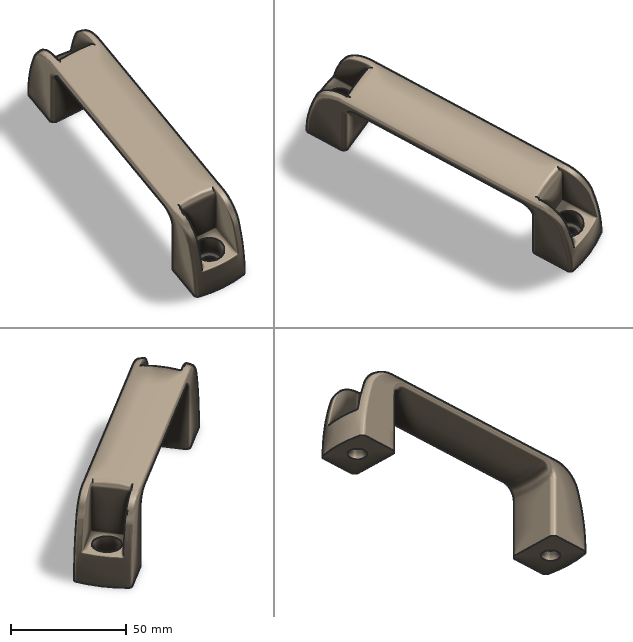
import cadquery as cq
import math

length = 138.8
width = 26.0
height = 41.0

shoulder_radius = 15.8
shoulder_x = 49.5
crown_radius = 55.5
outer_edge_round = 2.0

leg_inner_x = 47.5
underside_z = 34.1
opening_corner_radius = 5.7
inner_edge_round = 2.2

pocket_width = 18.0
pocket_back_x = 49.8
pocket_floor_z = 15.0
pocket_back_round = 3.3
pocket_edge_round = 0.5

hole_x = 58.5
hole_diameter = 8.5
counterbore_diameter = 13.0
counterbore_depth = 10.0

half_length = length / 2
half_width = width / 2
shoulder_z = height - shoulder_radius
margin = 7.0
tolerance = 0.1

shoulder_reach = half_length - shoulder_x
end_radius = (shoulder_reach**2 + shoulder_z**2 - shoulder_radius**2) / 2 / (shoulder_reach - shoulder_radius)
end_center_x = half_length - end_radius
join_angle = math.atan2(shoulder_z, shoulder_x - end_center_x)


def crown_sag(offset):
    """Drop of a crowned face at a distance from the middle of the width."""
    return crown_radius - math.sqrt(crown_radius**2 - offset**2)


def polar(center_x, center_z, radius, angle):
    return (center_x + radius * math.cos(angle), center_z + radius * math.sin(angle))


def mirrored(point):
    return (-point[0], point[1])


def outer_path():
    """Outline of the handle along the middle of its outer face, from foot to foot."""
    end_middle = polar(end_center_x, 0, end_radius, join_angle / 2)
    join = polar(end_center_x, 0, end_radius, join_angle)
    shoulder_middle = polar(shoulder_x, shoulder_z, shoulder_radius, (join_angle + math.pi / 2) / 2)
    return (
        cq.Workplane("XZ")
        .moveTo(-half_length, 0)
        .threePointArc(mirrored(end_middle), mirrored(join))
        .threePointArc(mirrored(shoulder_middle), (-shoulder_x, height))
        .lineTo(shoulder_x, height)
        .threePointArc(shoulder_middle, join)
        .threePointArc(end_middle, (half_length, 0))
    )


def crown_cutter():
    """Material outside the crowned outer face, swept along the outer path."""
    cut_half_width = half_width + margin
    sag = crown_sag(cut_half_width)
    section = (
        cq.Workplane("XY", origin=(-half_length, 0, 0))
        .moveTo(sag, -cut_half_width)
        .threePointArc((0, 0), (sag, cut_half_width))
        .lineTo(-margin, cut_half_width)
        .lineTo(-margin, -cut_half_width)
        .close()
    )
    return section.sweep(outer_path())


def rounded_handle():
    """The handle before the opening and pockets are cut."""
    block = outer_path().close().extrude(half_width, both=True)
    crowned = block.cut(crown_cutter())
    return crowned.faces(">Y or <Y").edges("not <Z").fillet(outer_edge_round)


def bar(half_span, middle_z, side_z, end_round):
    """Straight bar along X from z = 0, its top an arc across the width, its top ends rounded."""
    section = (
        cq.Workplane("YZ", origin=(-half_span, 0, 0))
        .moveTo(-half_width, 0)
        .lineTo(-half_width, side_z)
        .threePointArc((0, middle_z), (half_width, side_z))
        .lineTo(half_width, 0)
        .close()
    )
    return section.extrude(2 * half_span).faces("<X or >X").edges(">Z").fillet(end_round)


def cut_opening(body):
    opening = bar(leg_inner_x, underside_z, underside_z + crown_sag(half_width), opening_corner_radius)
    around_opening = cq.selectors.BoxSelector(
        (-leg_inner_x - tolerance, -half_width - tolerance, tolerance),
        (leg_inner_x + tolerance, half_width + tolerance, height - outer_edge_round),
    )
    opened = body.cut(opening)
    return opened.faces(">Y or <Y").edges(around_opening).fillet(inner_edge_round)


def cut_pockets(body):
    """Cut both ends down to the pocket floor, leaving the grip with a rounded end between the side walls."""
    grip = bar(pocket_back_x, height, height - crown_sag(half_width), pocket_back_round)
    pockets = (
        cq.Workplane("XY", origin=(0, 0, pocket_floor_z))
        .box(length + margin, pocket_width, height, centered=(True, True, False))
        .cut(grip)
    )
    body = body.cut(pockets)
    for side in (-1, 1):
        near_x = side * (pocket_back_x - pocket_back_round - tolerance)
        far_x = side * half_length
        around_pocket = cq.selectors.BoxSelector(
            (min(near_x, far_x), -pocket_width / 2 - tolerance, pocket_floor_z - tolerance),
            (max(near_x, far_x), pocket_width / 2 + tolerance, height),
        )
        body = body.edges(around_pocket).fillet(pocket_edge_round)
    return body


def cut_screw_holes(body):
    centers = [(-hole_x, 0), (hole_x, 0)]
    holes = cq.Workplane("XY").pushPoints(centers).circle(hole_diameter / 2).extrude(pocket_floor_z)
    counterbores = (
        cq.Workplane("XY", origin=(0, 0, pocket_floor_z))
        .pushPoints(centers)
        .circle(counterbore_diameter / 2)
        .extrude(-counterbore_depth)
    )
    return body.cut(holes).cut(counterbores)


handle = rounded_handle()
handle = cut_opening(handle)
handle = cut_pockets(handle)
result = cut_screw_holes(handle)